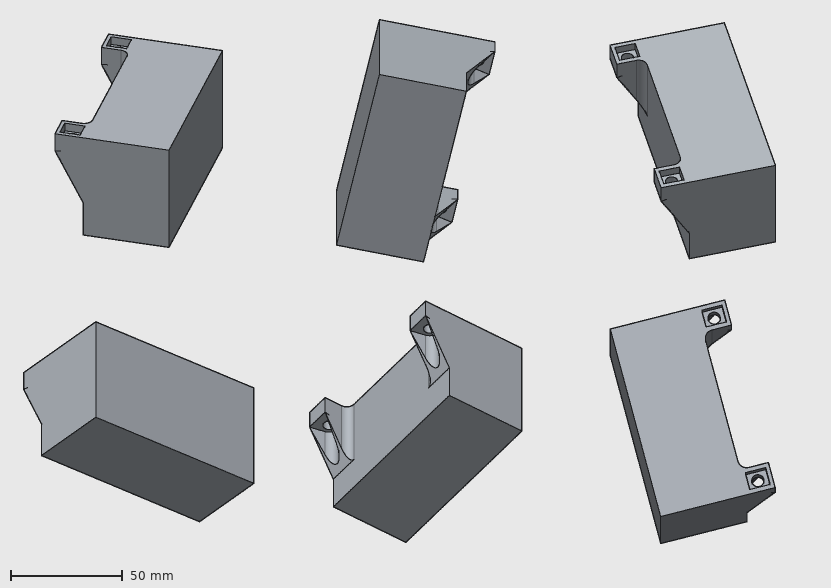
import cadquery as cq
import math

body_depth = 40.0
width = 89.5
height = 51.0

arm_reach = 13.08
arm_width = 12.0
arm_base_z = 17.0
arm_tip_height = 9.0
inner_corner_radius = 4.0

hole_diameter = 5.5
hole_setback = 6.5
hole_x = hole_setback - arm_reach
hole_y = (width - arm_width) / 2
pocket_length = 9.4
pocket_width = 8.0
pocket_depth = 4.0

clearance_radius = 4.5
flare_angle = math.radians(12.5)

arm_tip_z = height - arm_tip_height
side_y = width / 2
arm_inner_y = side_y - arm_width


def block_with_overhang():
    """Full-width block with a sloped overhang along its front face."""
    profile = [
        (body_depth, 0),
        (body_depth, height),
        (-arm_reach, height),
        (-arm_reach, arm_tip_z),
        (0, arm_base_z),
        (0, 0),
    ]
    return cq.Workplane("XZ").polyline(profile).close().extrude(side_y, both=True)


def recess_between_arms():
    """Opening that splits the overhang into two arms with rounded inner corners."""
    return (
        cq.Workplane("XY")
        .moveTo(-arm_reach, -arm_inner_y)
        .lineTo(-inner_corner_radius, -arm_inner_y)
        .radiusArc((0, inner_corner_radius - arm_inner_y), -inner_corner_radius)
        .lineTo(0, arm_inner_y - inner_corner_radius)
        .radiusArc((-inner_corner_radius, arm_inner_y), -inner_corner_radius)
        .lineTo(-arm_reach, arm_inner_y)
        .close()
        .extrude(height)
    )


def screw_clearance(y):
    """Flared slot that opens the slope below the screw hole up to the arm tip."""
    tangent_x = hole_x + clearance_radius * math.sin(flare_angle)
    tangent_half_width = clearance_radius * math.cos(flare_angle)
    mouth_half_width = tangent_half_width + (tangent_x + arm_reach) * math.tan(flare_angle)
    return (
        cq.Workplane("XY")
        .moveTo(-arm_reach, y - mouth_half_width)
        .lineTo(tangent_x, y - tangent_half_width)
        .threePointArc((hole_x + clearance_radius, y), (tangent_x, y + tangent_half_width))
        .lineTo(-arm_reach, y + mouth_half_width)
        .close()
        .extrude(arm_tip_z)
    )


def screw_hole(y):
    """Vertical hole through the arm tip."""
    return cq.Workplane("XY").center(hole_x, y).circle(hole_diameter / 2).extrude(height)


def nut_pocket(y):
    """Rectangular pocket sunk into the top face around the screw hole."""
    return (
        cq.Workplane("XY")
        .workplane(offset=height - pocket_depth)
        .center(hole_x, y)
        .rect(pocket_length, pocket_width)
        .extrude(pocket_depth)
    )


result = block_with_overhang().cut(recess_between_arms())
for arm_y in (-hole_y, hole_y):
    result = result.cut(screw_clearance(arm_y))
    result = result.cut(screw_hole(arm_y))
    result = result.cut(nut_pocket(arm_y))